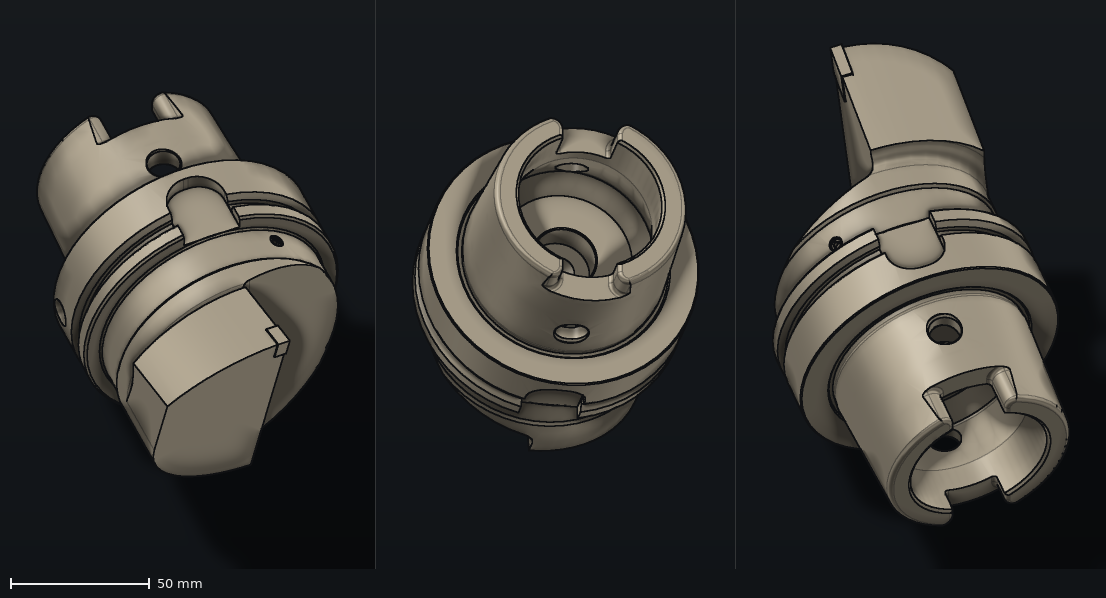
import cadquery as cq
import math


SHANK_LENGTH = 49.99
TAPER_RADIUS = 37.8
TAPER_SLOPE = 1 / 20
SHANK_END_ROUND = 2.0
NECK_LENGTH = 2.4
NECK_DEPTH = 0.3
FACE_GROOVE_RADIUS = 39.4
FACE_GROOVE_DEPTH = 0.6

BORE_RADIUS = 26.4
BORE_CHAMFER = 1.0
FLARE_START_X = -30.3
FLARE_END_X = -9.9
BORE_INNER_RADIUS = 31.5
BORE_FLOOR_X = -2.2
BORE_FLOOR_RADIUS = 24.9
TUBE_HOLE_RADIUS = 12.0
TUBE_HOLE_CHAMFER = 0.5
TUBE_HOLE_DEPTH = 12.0
DRILL_POINT_RADIUS = 6.0
DRILL_POINT_ANGLE = 118

SLOT_HALF_WIDTH = 10.0
SLOT_SHOULDER_Z = 32.1
SLOT_LOBE_ROUND = 4.2
SLOT_INNER_Z = 12.0
SLOT_SHOULDER_FALL = 8.0
SLOT_FLOOR_ROUND = 1.6
SLOT_MOUTH_ROUND = 1.6
TOP_SLOT_DEPTH = 15.0
BOTTOM_SLOT_DEPTH = 10.0

CROSS_HOLE_X = -15.0
CROSS_HOLE_RADIUS = 6.0
CROSS_HOLE_CHAMFER = 0.5

FLANGE_RADIUS = 49.99
FLANGE_WIDTH = 29.0
FLANGE_FRONT_CHAMFER = 0.5
FLANGE_BACK_CHAMFER = 0.9
GROOVE_X = 20.01
GROOVE_MOUTH_WIDTH = 6.5
GROOVE_WALL_WIDTH = 3.6
GROOVE_FLOOR_RADIUS = 45.7
GROOVE_FLARE_ANGLE = 30
KEYWAY_START_X = 5.1
KEYWAY_WIDTH = 21.9
KEYWAY_CORNER_RADIUS = 10.0
KEYWAY_FLOOR_Z = 43.9
CHIP_HOLE_X = 6.7
CHIP_HOLE_RADIUS = 5.1
CHIP_HOLE_DEPTH = 4.5

COLLAR_RADIUS = 43.5
COLLAR_END_X = 44.0
COLLAR_ROUND = 0.7
STEP_LENGTH = 1.2
HEAD_RADIUS = 44.5
HEAD_COVE_X = 54.4
HEAD_COVE_RADIUS = 6.1

TIP_X = 99.91
TIP_Z = 63.03
EDGE_ANGLE = 17.5
INSERT_SIDE = 11.62
INSERT_THICKNESS = 4.5
BLADE_SETBACK = 0.5
BLADE_ROUND_RADIUS = 57.7
BACK_PLANE_X = 54.9
BACK_PLANE_ANGLE = 15
BACK_ROUND = 6.0

SCREW_X = 35.0
SCREW_ANGLE = 31.8
SCREW_RADIUS = 2.2
SCREW_LENGTH = 4.5
SCREW_RECESS = 1.0
SCREW_SOCKET_RADIUS = 1.5
SCREW_SOCKET_DEPTH = 1.8
SCREW_MOUTH_CHAMFER = 0.5
SCREW_TOP = COLLAR_RADIUS - SCREW_RECESS

REACH = 149.9
BLOCK_WIDTH = 119.9

LEAN = math.radians(EDGE_ANGLE)
ALONG_TOP = (math.cos(LEAN), math.sin(LEAN))
ALONG_END = (math.sin(LEAN), math.cos(LEAN))


def spin(profile):
    """Revolve an (x, radius) profile around the X axis."""
    return profile.close().revolve(360, (0, 0, 0), (1, 0, 0))


def taper_radius(x):
    return TAPER_RADIUS + TAPER_SLOPE * x


def shank_and_flange():
    neck_radius = taper_radius(-NECK_LENGTH) - NECK_DEPTH
    mouth = GROOVE_MOUTH_WIDTH / 2
    wall = GROOVE_WALL_WIDTH / 2
    flare_depth = (mouth - wall) / math.tan(math.radians(GROOVE_FLARE_ANGLE))
    return spin(
        cq.Workplane("XY")
        .moveTo(-SHANK_LENGTH, 0)
        .lineTo(-SHANK_LENGTH, taper_radius(-SHANK_LENGTH))
        .lineTo(-NECK_LENGTH, taper_radius(-NECK_LENGTH))
        .lineTo(-NECK_LENGTH / 2, neck_radius)
        .lineTo(FACE_GROOVE_DEPTH, neck_radius)
        .lineTo(FACE_GROOVE_DEPTH, FACE_GROOVE_RADIUS - FACE_GROOVE_DEPTH)
        .lineTo(0, FACE_GROOVE_RADIUS)
        .lineTo(0, FLANGE_RADIUS - FLANGE_FRONT_CHAMFER)
        .lineTo(FLANGE_FRONT_CHAMFER, FLANGE_RADIUS)
        .lineTo(GROOVE_X - mouth, FLANGE_RADIUS)
        .lineTo(GROOVE_X - wall, FLANGE_RADIUS - flare_depth)
        .lineTo(GROOVE_X - wall, GROOVE_FLOOR_RADIUS)
        .lineTo(GROOVE_X + wall, GROOVE_FLOOR_RADIUS)
        .lineTo(GROOVE_X + wall, FLANGE_RADIUS - flare_depth)
        .lineTo(GROOVE_X + mouth, FLANGE_RADIUS)
        .lineTo(FLANGE_WIDTH - FLANGE_BACK_CHAMFER, FLANGE_RADIUS)
        .lineTo(FLANGE_WIDTH, FLANGE_RADIUS - FLANGE_BACK_CHAMFER)
        .lineTo(FLANGE_WIDTH, 0)
    )


def shank_bore():
    floor_x = BORE_FLOOR_X
    hole_end = floor_x + TUBE_HOLE_DEPTH
    point_end = hole_end + DRILL_POINT_RADIUS / math.tan(math.radians(DRILL_POINT_ANGLE / 2))
    return spin(
        cq.Workplane("XY")
        .moveTo(-SHANK_LENGTH, 0)
        .lineTo(-SHANK_LENGTH, BORE_RADIUS + BORE_CHAMFER)
        .lineTo(-SHANK_LENGTH + BORE_CHAMFER, BORE_RADIUS)
        .lineTo(FLARE_START_X, BORE_RADIUS)
        .lineTo(FLARE_END_X, BORE_INNER_RADIUS)
        .lineTo(floor_x - (BORE_INNER_RADIUS - BORE_FLOOR_RADIUS), BORE_INNER_RADIUS)
        .lineTo(floor_x, BORE_FLOOR_RADIUS)
        .lineTo(floor_x, TUBE_HOLE_RADIUS)
        .lineTo(floor_x + TUBE_HOLE_CHAMFER, TUBE_HOLE_RADIUS - TUBE_HOLE_CHAMFER)
        .lineTo(hole_end, TUBE_HOLE_RADIUS - TUBE_HOLE_CHAMFER)
        .lineTo(hole_end, DRILL_POINT_RADIUS)
        .lineTo(point_end, 0)
    )


def drive_slot(depth):
    """Cutter for the slot on the +Z side: narrow between the lobes, wide above their rounded tops."""
    fall = math.radians(SLOT_SHOULDER_FALL)
    centre_y = SLOT_HALF_WIDTH + SLOT_LOBE_ROUND
    centre_z = SLOT_SHOULDER_Z - SLOT_LOBE_ROUND

    def lobe_point(angle):
        """(y, z) on a lobe's round, its angle turning from the slot wall over the top."""
        return centre_y - SLOT_LOBE_ROUND * math.cos(angle), centre_z + SLOT_LOBE_ROUND * math.sin(angle)

    mid_y, mid_z = lobe_point(math.radians(45))
    arc_y, arc_z = lobe_point(math.radians(90) + fall)
    outer_y = BLOCK_WIDTH
    outer_z = arc_z - (outer_y - arc_y) * math.tan(fall)
    cutter = (
        cq.Workplane("YZ", origin=(-SHANK_LENGTH + depth, 0, 0))
        .moveTo(0, SLOT_INNER_Z)
        .lineTo(SLOT_HALF_WIDTH, SLOT_INNER_Z)
        .lineTo(SLOT_HALF_WIDTH, centre_z)
        .threePointArc((mid_y, mid_z), (arc_y, arc_z))
        .lineTo(outer_y, outer_z)
        .lineTo(outer_y, BLOCK_WIDTH)
        .lineTo(0, BLOCK_WIDTH)
        .mirrorY()
        .extrude(-2 * depth)
    )
    return cutter.faces(">X").edges().fillet(SLOT_FLOOR_ROUND)


def slotted_block():
    """Block around the whole holder with the drive slots cut in and their mouths rounded.

    The slots are rounded here, before the taper trims them, so each mouth edge is one smooth chain.
    """
    block = cq.Workplane("XY", origin=(-SHANK_LENGTH, 0, 0)).box(
        REACH, BLOCK_WIDTH, BLOCK_WIDTH, centered=(False, True, True)
    )
    block = block.cut(drive_slot(TOP_SLOT_DEPTH)).cut(drive_slot(BOTTOM_SLOT_DEPTH).mirror("XY"))
    mouth_edges = block.faces("<X").edges(beside_slots(1) + beside_slots(-1))
    return mouth_edges.fillet(SLOT_MOUTH_ROUND)


def beside_slots(side):
    """Selector for the edges next to the slots, on the +Y (1) or the -Y (-1) side."""
    inner = (-2 * SHANK_LENGTH, side * SLOT_HALF_WIDTH / 2, -BLOCK_WIDTH)
    outer = (0, side * 0.45 * BLOCK_WIDTH, BLOCK_WIDTH)
    return cq.selectors.BoxSelector(inner, outer)


def keyway():
    """Cutter for the keyway on the +Z side of the flange, rounded where it starts."""
    return (
        cq.Workplane("XY", origin=(KEYWAY_START_X, 0, KEYWAY_FLOOR_Z))
        .box(FLANGE_WIDTH - KEYWAY_START_X, KEYWAY_WIDTH, FLANGE_RADIUS, centered=(False, True, False))
        .edges("|Z and <X")
        .fillet(KEYWAY_CORNER_RADIUS)
    )


def collar_and_head():
    """Collar, head and the cove that sweeps up to the blade, trimmed to the head's envelope."""
    cove_end = HEAD_COVE_X + HEAD_COVE_RADIUS
    bow = HEAD_COVE_RADIUS * math.sqrt(0.5)
    round_bow = COLLAR_ROUND * (1 - math.sqrt(0.5))
    turned = spin(
        cq.Workplane("XY")
        .moveTo(FLANGE_WIDTH, 0)
        .lineTo(FLANGE_WIDTH, COLLAR_RADIUS + COLLAR_ROUND)
        .threePointArc(
            (FLANGE_WIDTH + round_bow, COLLAR_RADIUS + round_bow),
            (FLANGE_WIDTH + COLLAR_ROUND, COLLAR_RADIUS),
        )
        .lineTo(COLLAR_END_X, COLLAR_RADIUS)
        .lineTo(COLLAR_END_X + STEP_LENGTH, HEAD_RADIUS)
        .lineTo(HEAD_COVE_X, HEAD_RADIUS)
        .threePointArc(
            (HEAD_COVE_X + bow, HEAD_RADIUS + HEAD_COVE_RADIUS - bow),
            (cove_end, HEAD_RADIUS + HEAD_COVE_RADIUS),
        )
        .lineTo(cove_end, 2 * HEAD_RADIUS)
        .lineTo(REACH, 2 * HEAD_RADIUS)
        .lineTo(REACH, 0)
    )
    return turned.intersect(head_envelope())


def head_envelope():
    """Round head joined with the blade's leaning, rounded top, ended by the leaning end plane."""
    round_head = cq.Workplane("YZ").circle(HEAD_RADIUS).extrude(REACH)

    top_z = TIP_Z - BLADE_SETBACK / math.cos(LEAN)
    centre_x = TIP_X + BLADE_ROUND_RADIUS * math.sin(LEAN)
    centre_z = top_z - BLADE_ROUND_RADIUS * math.cos(LEAN)
    leaning_plane = cq.Plane(
        origin=(centre_x, 0, centre_z), xDir=(0, 1, 0), normal=(ALONG_TOP[0], 0, ALONG_TOP[1])
    )
    leaning_top = cq.Workplane(leaning_plane).circle(BLADE_ROUND_RADIUS).extrude(REACH, both=True)
    upper_half = cq.Workplane("XY").box(REACH, 2 * HEAD_RADIUS, REACH, centered=(False, True, False))

    end_x = TIP_X - BLADE_SETBACK / math.cos(LEAN)
    end_plane = cq.Plane(origin=(end_x, 0, TIP_Z), xDir=(0, 1, 0), normal=(ALONG_END[1], 0, -ALONG_END[0]))
    beyond_end = cq.Workplane(end_plane).rect(2 * REACH, 4 * REACH).extrude(REACH)
    return round_head.union(leaning_top.intersect(upper_half)).cut(beyond_end)


def behind_blade():
    """Everything cut away on the +Y side, leaving the slanted back plane and the blade face."""
    corner_y = -BLADE_SETBACK
    run = REACH * math.tan(math.radians(BACK_PLANE_ANGLE))
    return (
        cq.Workplane("XY", origin=(0, 0, -REACH))
        .moveTo(BACK_PLANE_X, corner_y)
        .lineTo(REACH, corner_y)
        .lineTo(REACH, corner_y + REACH)
        .lineTo(BACK_PLANE_X - run, corner_y + REACH)
        .close()
        .extrude(2 * REACH)
        .edges(cq.NearestToPointSelector((BACK_PLANE_X, corner_y, 0)))
        .fillet(BACK_ROUND)
    )


def cutting_insert():
    """Rhombic plate whose sharp corner is the tool tip."""
    top = (-INSERT_SIDE * ALONG_TOP[0], -INSERT_SIDE * ALONG_TOP[1])
    end = (-INSERT_SIDE * ALONG_END[0], -INSERT_SIDE * ALONG_END[1])
    return (
        cq.Workplane("XZ", origin=(TIP_X, 0, TIP_Z))
        .polyline([(0, 0), top, (top[0] + end[0], top[1] + end[1]), end])
        .close()
        .extrude(INSERT_THICKNESS)
    )


def screw_plane(radius):
    """Plane at a distance from the axis, facing outward along the screw."""
    angle = math.radians(SCREW_ANGLE)
    outward = (0, math.sin(angle), math.cos(angle))
    origin = (SCREW_X, radius * outward[1], radius * outward[2])
    return cq.Workplane(cq.Plane(origin=origin, xDir=(1, 0, 0), normal=outward))


def collar_screw():
    body = screw_plane(SCREW_TOP).circle(SCREW_RADIUS).extrude(-SCREW_LENGTH)
    socket = screw_plane(SCREW_TOP).polygon(6, 2 * SCREW_SOCKET_RADIUS).extrude(-SCREW_SOCKET_DEPTH)
    return body.cut(socket)


def screw_hole():
    bottom = screw_plane(SCREW_TOP - SCREW_LENGTH)
    hole = bottom.circle(SCREW_RADIUS).extrude(SCREW_LENGTH + 2 * SCREW_RECESS)
    mouth = screw_plane(COLLAR_RADIUS - SCREW_MOUTH_CHAMFER).circle(SCREW_RADIUS)
    flare = mouth.workplane(offset=2 * SCREW_MOUTH_CHAMFER).circle(SCREW_RADIUS + 2 * SCREW_MOUTH_CHAMFER).loft()
    return hole.union(flare)


def cross_hole():
    """Cutter for the clamping hole through both shank walls, with a flared mouth at each end."""
    mouth_z = taper_radius(CROSS_HOLE_X)
    wide = CROSS_HOLE_RADIUS + 2 * CROSS_HOLE_CHAMFER
    half = (
        cq.Workplane("XZ")
        .moveTo(0, 0)
        .lineTo(CROSS_HOLE_RADIUS, 0)
        .lineTo(CROSS_HOLE_RADIUS, mouth_z - 2 * CROSS_HOLE_CHAMFER)
        .lineTo(wide, mouth_z)
        .lineTo(wide, FLANGE_RADIUS)
        .lineTo(0, FLANGE_RADIUS)
        .close()
        .revolve(360, (0, 0, 0), (0, 1, 0))
        .translate((CROSS_HOLE_X, 0, 0))
    )
    return half.union(half.mirror("XY"))


def holder():
    body = shank_and_flange().faces("<X").edges().fillet(SHANK_END_ROUND)
    body = body.intersect(slotted_block())
    body = body.cut(shank_bore())
    body = body.cut(cross_hole())
    body = body.union(collar_and_head().cut(behind_blade()))
    for turn in (0, 180):
        body = body.cut(keyway().rotate((0, 0, 0), (1, 0, 0), turn))
    chip = cq.Workplane("XZ", origin=(CHIP_HOLE_X, -FLANGE_RADIUS + CHIP_HOLE_DEPTH, 0)).circle(CHIP_HOLE_RADIUS)
    body = body.cut(chip.extrude(2 * CHIP_HOLE_DEPTH))
    return body.cut(cutting_insert()).cut(screw_hole())


result = cq.Compound.makeCompound([holder().val(), cutting_insert().val(), collar_screw().val()])